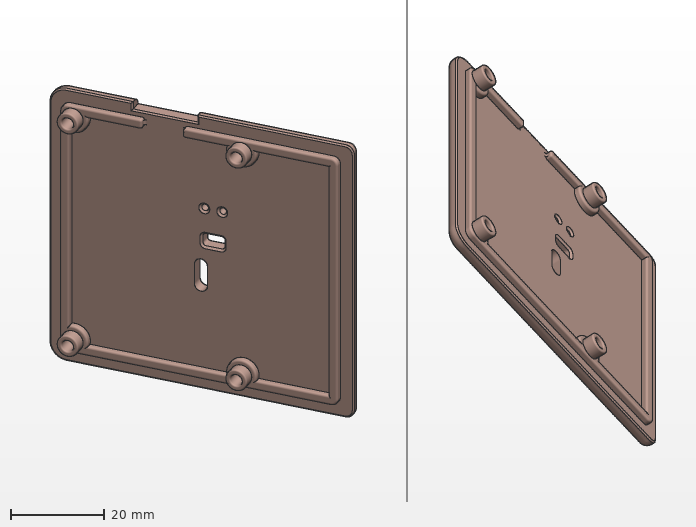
import cadquery as cq

PLATE_LENGTH = 71.0
PLATE_HEIGHT = 66.0
PLATE_THICKNESS = 3.05
LEFT_CORNER_RADIUS = 4.0
RIGHT_CORNER_RADIUS = 2.05
BACK_EDGE_RADIUS = 2.0
FRONT_EDGE_CHAMFER = 0.35

OPENING_X = -8.5
NOTCH_WIDTH = 15.1
NOTCH_DEPTH = 1.8

RIDGE_INSET = 3.1
RIDGE_WIDTH = 2.1
RIDGE_HEIGHT = 1.5
RIDGE_LEFT_RADIUS = 1.8
RIDGE_RIGHT_RADIUS = 1.55
RIDGE_EDGE_RADIUS = 0.5
RIDGE_GAP = 9.6
RIDGE_OUTER_LENGTH = PLATE_LENGTH - 2 * RIDGE_INSET
RIDGE_OUTER_HEIGHT = PLATE_HEIGHT - 2 * RIDGE_INSET
RIDGE_INNER_LENGTH = RIDGE_OUTER_LENGTH - 2 * RIDGE_WIDTH
RIDGE_INNER_HEIGHT = RIDGE_OUTER_HEIGHT - 2 * RIDGE_WIDTH

TOTAL_DEPTH = 7.3
BOSS_HEIGHT = TOTAL_DEPTH - PLATE_THICKNESS
BOSS_RADIUS = 2.5
BOSS_EDGE_RADIUS = 0.35
PEDESTAL_RADIUS = 3.55
SCREW_HOLE_RADIUS = 1.35
BOSS_COLUMNS = (-29.5, 9.9)
BOSS_ROW = 27.0
BOSS_CENTERS = [(x, z) for x in BOSS_COLUMNS for z in (-BOSS_ROW, BOSS_ROW)]

FLARE = 0.5
PIN_HOLE_RADIUS = 0.8
PIN_HOLE_Z = 10.8
PIN_HOLE_CENTERS = [(x, PIN_HOLE_Z) for x in (0.65, 4.8)]
WINDOW_LENGTH = 5.1
WINDOW_HEIGHT = 3.0
WINDOW_CORNER_RADIUS = 0.7
WINDOW_CENTER = (2.7, 3.05)
SLOT_LENGTH = 7.8
SLOT_WIDTH = 3.0
SLOT_CENTER = (-0.15, -5.55)


def front_plane():
    """Sketch plane on the front face: extrusion goes to -Y, or into the plate if negative."""
    return cq.Workplane("XZ")


def rounded_block(length, height, depth, left_radius, right_radius):
    """Block on the front plane with its own radius on the left and right corners."""
    block = front_plane().rect(length, height).extrude(depth)
    block = block.edges("|Y and <X").fillet(left_radius)
    return block.edges("|Y and >X").fillet(right_radius)


def make_plate():
    """Plate with a rounded back edge, the notch and a chamfered front edge."""
    plate = rounded_block(
        PLATE_LENGTH, PLATE_HEIGHT, -PLATE_THICKNESS, LEFT_CORNER_RADIUS, RIGHT_CORNER_RADIUS
    )
    plate = plate.faces(">Y").edges().fillet(BACK_EDGE_RADIUS)
    notch = (
        front_plane()
        .center(OPENING_X, PLATE_HEIGHT / 2)
        .rect(NOTCH_WIDTH, 2 * NOTCH_DEPTH)
        .extrude(-PLATE_THICKNESS)
    )
    return plate.cut(notch).faces("<Y").edges().chamfer(FRONT_EDGE_CHAMFER)


def make_ridge():
    """Ridge and boss pedestals, trimmed to one outline and open below the notch."""
    outer = rounded_block(
        RIDGE_OUTER_LENGTH, RIDGE_OUTER_HEIGHT, RIDGE_HEIGHT, RIDGE_LEFT_RADIUS, RIDGE_RIGHT_RADIUS
    )
    inner = front_plane().rect(RIDGE_INNER_LENGTH, RIDGE_INNER_HEIGHT).extrude(RIDGE_HEIGHT)
    pedestals = front_plane().pushPoints(BOSS_CENTERS).circle(PEDESTAL_RADIUS).extrude(RIDGE_HEIGHT)
    gap = (
        front_plane()
        .center(OPENING_X, RIDGE_OUTER_HEIGHT / 2)
        .rect(RIDGE_GAP, 3 * RIDGE_WIDTH)
        .extrude(RIDGE_HEIGHT)
    )
    ridge = outer.cut(inner).union(pedestals.intersect(outer)).cut(gap)

    near_gap = cq.selectors.BoxSelector(
        (OPENING_X - RIDGE_GAP, -RIDGE_HEIGHT, 0),
        (OPENING_X + RIDGE_GAP, 0, PLATE_HEIGHT / 2),
    )
    ridge = ridge.edges("|Y").edges(near_gap).fillet(RIDGE_EDGE_RADIUS)
    return ridge.faces("<Y").edges().fillet(RIDGE_EDGE_RADIUS)


def make_ridge_foot(side):
    """Concave fillet at the foot of one ridge end; side is -1 (left) or 1 (right)."""
    wall_x = OPENING_X + side * RIDGE_GAP / 2
    toe_x = wall_x - side * RIDGE_EDGE_RADIUS
    foot_width = RIDGE_WIDTH - 2 * RIDGE_EDGE_RADIUS
    foot_bottom = RIDGE_INNER_HEIGHT / 2 + RIDGE_EDGE_RADIUS
    foot = (
        cq.Workplane("XY", origin=(0, 0, foot_bottom))
        .moveTo(wall_x, 0)
        .lineTo(toe_x, 0)
        .lineTo(toe_x, -RIDGE_EDGE_RADIUS)
        .lineTo(wall_x, -RIDGE_EDGE_RADIUS)
        .close()
        .extrude(foot_width)
    )
    hollow = (
        cq.Workplane("XY", origin=(0, 0, foot_bottom))
        .center(toe_x, -RIDGE_EDGE_RADIUS)
        .circle(RIDGE_EDGE_RADIUS)
        .extrude(foot_width)
    )
    return foot.cut(hollow)


def make_bosses():
    """Four bosses, bored and with rounded rims inside and out."""
    bosses = (
        front_plane()
        .pushPoints(BOSS_CENTERS)
        .circle(BOSS_RADIUS)
        .circle(SCREW_HOLE_RADIUS)
        .extrude(BOSS_HEIGHT)
    )
    return bosses.faces("<Y").edges().fillet(BOSS_EDGE_RADIUS)


def make_pin_holes():
    return front_plane().pushPoints(PIN_HOLE_CENTERS).circle(PIN_HOLE_RADIUS).extrude(-PLATE_THICKNESS)


def make_window():
    window = front_plane().center(*WINDOW_CENTER).rect(WINDOW_LENGTH, WINDOW_HEIGHT)
    return window.extrude(-PLATE_THICKNESS).edges("|Y").fillet(WINDOW_CORNER_RADIUS)


def make_slot():
    slot = front_plane().center(*SLOT_CENTER).slot2D(SLOT_LENGTH, SLOT_WIDTH, 90)
    return slot.extrude(-PLATE_THICKNESS)


def make_screw_holes():
    """Screw holes through the pedestals and the plate, in line with the bores of the bosses."""
    holes = front_plane().workplane(offset=-PLATE_THICKNESS).pushPoints(BOSS_CENTERS)
    return holes.circle(SCREW_HOLE_RADIUS).extrude(PLATE_THICKNESS + RIDGE_HEIGHT)


plate = make_plate().cut(make_pin_holes()).cut(make_window())
flared_area = cq.selectors.BoxSelector(
    (-WINDOW_LENGTH, -FLARE, 0),
    (2 * WINDOW_LENGTH, FLARE, 2 * PIN_HOLE_Z),
)
plate = plate.faces("<Y").edges(flared_area).chamfer(FLARE)
plate = plate.cut(make_slot())

result = plate.union(make_ridge())
for side in (-1, 1):
    result = result.union(make_ridge_foot(side))
result = result.cut(make_screw_holes()).union(make_bosses())